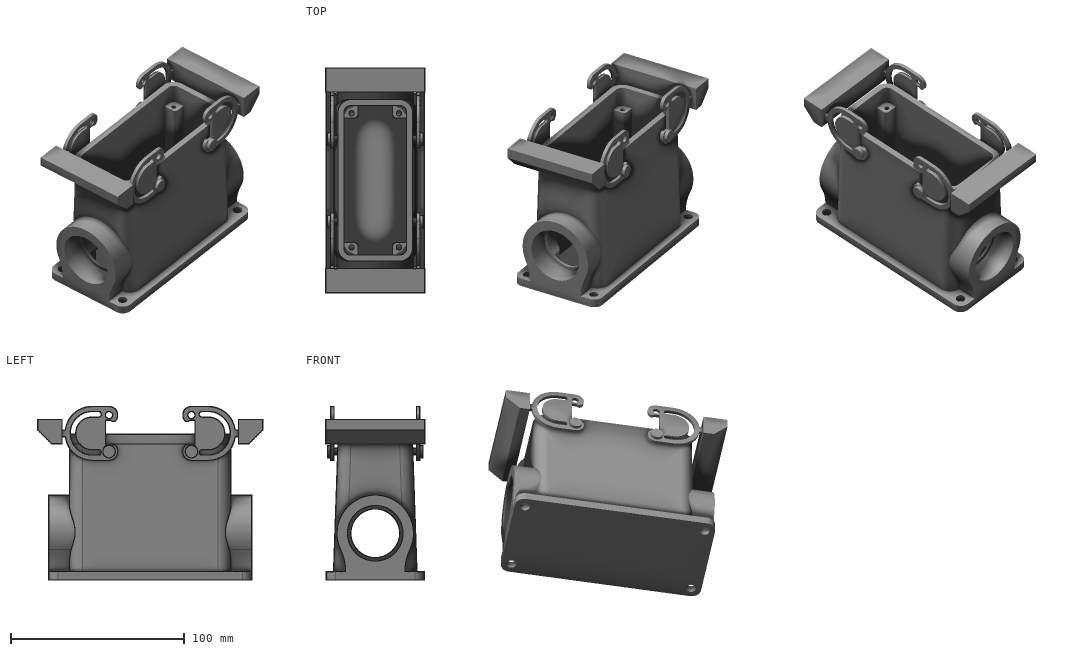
import cadquery as cq
import math


FLANGE_WIDTH = 56.5
FLANGE_LENGTH = 117.0
FLANGE_THICKNESS = 5.0
FLANGE_CORNER_RADIUS = 5.5
BOLT_HOLE_RADIUS = 2.75
BOLT_HOLE_INSET = 6.0

TOP_Z = 84.0
SEAL_HEIGHT = 5.5
RIM_Z = TOP_Z - SEAL_HEIGHT
SHELL_LENGTH = 93.0
SHELL_FOOT_WIDTH = 48.1
RIM_WIDTH = 43.0
SHELL_CORNER_RADIUS = 7.5
WALL = 3.5

CAVITY_WIDTH = RIM_WIDTH - 2 * WALL
CAVITY_LENGTH = SHELL_LENGTH - 2 * WALL
CAVITY_CORNER_RADIUS = SHELL_CORNER_RADIUS - WALL
FLOOR_Z = FLANGE_THICKNESS

POST_TOP_Z = 72.0
POST_WIDTH = 8.0
POST_LENGTH = 7.2
POST_CORNER_RADIUS = 2.0
POST_HOLE_RADIUS = 1.5
POST_HOLE_DEPTH = 10.0
POST_HOLE_INSET = 4.4

ENTRY_Z = 27.0
ENTRY_RADIUS = 22.0
ENTRY_NECK_HALF_WIDTH = 17.0
ENTRY_NECK_CURVE_RADIUS = 30.0
BORE_RADIUS = 14.0
COUNTERBORE_RADIUS = 16.0
COUNTERBORE_DEPTH = 14.0

LEVER_Z = 84.5
PLATE_INNER_X = 23.6
PLATE_THICKNESS = 2.0
PLATE_OUTER_X = PLATE_INNER_X + PLATE_THICKNESS
PLATE_RADIUS = 15.5
PLATE_ARC_Y = 33.5
LOBE_RADIUS = 5.0
LOBE_Y = 23.7
LOBE_RISE = PLATE_RADIUS - LOBE_RADIUS
NOTCH_Y = 25.6
NOTCH_DROP = 3.0
HOOK_START_Y = 22.7
HOOK_TIP_Y = 21.3
HOOK_TIP_DROP = 0.8
SLOT_OUTER_RADIUS = 12.5
SLOT_INNER_RADIUS = 9.4
SLOT_END_Y = 29.7

BAR_WIDTH = 57.0
BAR_SIZE = 14.0
BAR_OUTER_Y = 64.75
BAR_INNER_Y = BAR_OUTER_Y - BAR_SIZE
BAR_TOP_Z = 92.5
BAR_CHAMFER = 8.0
TAB_HEIGHT = 4.0

PIN_RADIUS = 2.0
PIN_HEAD_RADIUS = 3.6
PIN_HEAD_THICKNESS = 1.9
PIN_Z = LEVER_Z - LOBE_RISE

SIDES = (-1, 1)


def rounded_block(width, length, height, radius, base_z):
    """Upright block centred on Z with rounded vertical edges."""
    block = cq.Workplane("XY").workplane(offset=base_z).rect(width, length).extrude(height)
    return block.edges("|Z").fillet(radius)


def make_flange():
    flange = rounded_block(FLANGE_WIDTH, FLANGE_LENGTH, FLANGE_THICKNESS, FLANGE_CORNER_RADIUS, 0)
    hole_pitch_x = FLANGE_WIDTH - 2 * BOLT_HOLE_INSET
    hole_pitch_y = FLANGE_LENGTH - 2 * BOLT_HOLE_INSET
    return (
        flange.faces(">Z").workplane()
        .rect(hole_pitch_x, hole_pitch_y, forConstruction=True)
        .vertices()
        .hole(2 * BOLT_HOLE_RADIUS)
    )


def make_shell():
    """Outside of the shell: sides taper in X, ends are upright, corners keep one radius."""
    foot_x = SHELL_FOOT_WIDTH / 2
    rim_x = RIM_WIDTH / 2
    shell = (
        cq.Workplane("XZ")
        .moveTo(-foot_x, FLANGE_THICKNESS)
        .lineTo(foot_x, FLANGE_THICKNESS)
        .lineTo(rim_x, RIM_Z)
        .lineTo(-rim_x, RIM_Z)
        .close()
        .extrude(SHELL_LENGTH / 2, both=True)
    )
    return shell.edges("#Y and (not |X)").fillet(SHELL_CORNER_RADIUS)


def make_cavity():
    return rounded_block(CAVITY_WIDTH, CAVITY_LENGTH, RIM_Z - FLOOR_Z, CAVITY_CORNER_RADIUS, FLOOR_Z)


def make_posts(cavity):
    """Four corner posts, trimmed to the rounded corners of the cavity."""
    posts = cavity
    clear_width = CAVITY_WIDTH - 2 * POST_WIDTH
    clear_length = CAVITY_LENGTH - 2 * POST_LENGTH
    gap_height = RIM_Z - FLOOR_Z
    for width, length in ((clear_width, CAVITY_LENGTH), (CAVITY_WIDTH, clear_length)):
        gap = cq.Workplane("XY").workplane(offset=FLOOR_Z).rect(width, length).extrude(gap_height)
        posts = posts.cut(gap)
    above_posts = (
        cq.Workplane("XY").workplane(offset=POST_TOP_Z)
        .rect(CAVITY_WIDTH, CAVITY_LENGTH)
        .extrude(RIM_Z - POST_TOP_Z)
    )
    posts = posts.cut(above_posts)
    for side_x in SIDES:
        for side_y in SIDES:
            inner_corner = cq.selectors.NearestToPointSelector(
                (side_x * clear_width / 2, side_y * clear_length / 2, (FLOOR_Z + POST_TOP_Z) / 2)
            )
            posts = posts.edges("|Z").edges(inner_corner).fillet(POST_CORNER_RADIUS)
    screw_holes = (
        cq.Workplane("XY").workplane(offset=POST_TOP_Z - POST_HOLE_DEPTH)
        .rect(CAVITY_WIDTH - 2 * POST_HOLE_INSET, CAVITY_LENGTH - 2 * POST_HOLE_INSET, forConstruction=True)
        .vertices()
        .circle(POST_HOLE_RADIUS)
        .extrude(POST_HOLE_DEPTH)
    )
    return posts.cut(screw_holes)


def make_entries():
    """Round cable entries whose necks curve smoothly down onto the flange."""
    curve_x = ENTRY_NECK_HALF_WIDTH + ENTRY_NECK_CURVE_RADIUS
    centre_distance = ENTRY_RADIUS + ENTRY_NECK_CURVE_RADIUS
    curve_drop = math.sqrt(centre_distance ** 2 - curve_x ** 2)
    curve_z = ENTRY_Z - curve_drop
    tangent_x = ENTRY_RADIUS * curve_x / centre_distance
    tangent_z = ENTRY_Z - ENTRY_RADIUS * curve_drop / centre_distance
    start_angle = math.asin((FLANGE_THICKNESS - curve_z) / ENTRY_NECK_CURVE_RADIUS)
    end_angle = math.asin(curve_drop / centre_distance)
    middle_angle = (start_angle + end_angle) / 2
    start_x = curve_x - ENTRY_NECK_CURVE_RADIUS * math.cos(start_angle)
    middle_x = curve_x - ENTRY_NECK_CURVE_RADIUS * math.cos(middle_angle)
    middle_z = curve_z + ENTRY_NECK_CURVE_RADIUS * math.sin(middle_angle)
    return (
        cq.Workplane("XZ")
        .moveTo(-start_x, FLANGE_THICKNESS)
        .lineTo(start_x, FLANGE_THICKNESS)
        .threePointArc((middle_x, middle_z), (tangent_x, tangent_z))
        .threePointArc((0, ENTRY_Z + ENTRY_RADIUS), (-tangent_x, tangent_z))
        .threePointArc((-middle_x, middle_z), (-start_x, FLANGE_THICKNESS))
        .close()
        .extrude(FLANGE_LENGTH / 2, both=True)
    )


def make_bores():
    """Bore along the whole length with a counterbore at each end."""
    centre = cq.Workplane("XZ").center(0, ENTRY_Z)
    bores = centre.circle(BORE_RADIUS).extrude(FLANGE_LENGTH / 2, both=True)
    for side in SIDES:
        counterbore = (
            cq.Workplane("XZ", origin=(0, side * FLANGE_LENGTH / 2, ENTRY_Z))
            .circle(COUNTERBORE_RADIUS)
            .extrude(side * COUNTERBORE_DEPTH)
        )
        bores = bores.union(counterbore)
    return bores


def make_plate():
    """One lever side plate on the +X side of the lever at the +Y end."""
    notch_v = LOBE_RISE - NOTCH_DROP
    hook_end_y = LOBE_Y - math.sqrt(LOBE_RADIUS ** 2 - NOTCH_DROP ** 2)
    hook_tip_v = notch_v - HOOK_TIP_DROP
    lobe_tip_y = LOBE_Y - LOBE_RADIUS
    blank = (
        cq.Workplane("YZ", origin=(PLATE_INNER_X, 0, LEVER_Z))
        .moveTo(NOTCH_Y, -notch_v)
        .lineTo(NOTCH_Y, notch_v)
        .lineTo(HOOK_START_Y, notch_v)
        .threePointArc((HOOK_TIP_Y, hook_tip_v), (hook_end_y, notch_v))
        .threePointArc((lobe_tip_y, LOBE_RISE), (LOBE_Y, PLATE_RADIUS))
        .lineTo(PLATE_ARC_Y, PLATE_RADIUS)
        .threePointArc((PLATE_ARC_Y + PLATE_RADIUS, 0), (PLATE_ARC_Y, -PLATE_RADIUS))
        .lineTo(LOBE_Y, -PLATE_RADIUS)
        .threePointArc((lobe_tip_y, -LOBE_RISE), (hook_end_y, -notch_v))
        .threePointArc((HOOK_TIP_Y, -hook_tip_v), (HOOK_START_Y, -notch_v))
        .close()
        .extrude(PLATE_THICKNESS)
    )
    catch_hole = (
        cq.Workplane("YZ", origin=(PLATE_INNER_X, LOBE_Y, LEVER_Z + LOBE_RISE))
        .circle(PIN_RADIUS)
        .extrude(PLATE_THICKNESS)
    )
    tab_start_y = PLATE_ARC_Y + SLOT_OUTER_RADIUS
    tab = (
        cq.Workplane("XY")
        .box(PLATE_THICKNESS, BAR_INNER_Y - tab_start_y, TAB_HEIGHT, centered=(False, False, True))
        .translate((PLATE_INNER_X, tab_start_y, LEVER_Z))
    )
    return blank.union(tab).cut(catch_hole).cut(make_slot())


def make_slot():
    """C-shaped spring slot that follows the round end of a lever plate."""
    slot_mid_radius = (SLOT_OUTER_RADIUS + SLOT_INNER_RADIUS) / 2
    end_tip_y = SLOT_END_Y - (SLOT_OUTER_RADIUS - SLOT_INNER_RADIUS) / 2
    return (
        cq.Workplane("YZ", origin=(PLATE_INNER_X, 0, LEVER_Z))
        .moveTo(SLOT_END_Y, SLOT_OUTER_RADIUS)
        .lineTo(PLATE_ARC_Y, SLOT_OUTER_RADIUS)
        .threePointArc((PLATE_ARC_Y + SLOT_OUTER_RADIUS, 0), (PLATE_ARC_Y, -SLOT_OUTER_RADIUS))
        .lineTo(SLOT_END_Y, -SLOT_OUTER_RADIUS)
        .threePointArc((end_tip_y, -slot_mid_radius), (SLOT_END_Y, -SLOT_INNER_RADIUS))
        .lineTo(PLATE_ARC_Y, -SLOT_INNER_RADIUS)
        .threePointArc((PLATE_ARC_Y + SLOT_INNER_RADIUS, 0), (PLATE_ARC_Y, SLOT_INNER_RADIUS))
        .lineTo(SLOT_END_Y, SLOT_INNER_RADIUS)
        .threePointArc((end_tip_y, slot_mid_radius), (SLOT_END_Y, SLOT_OUTER_RADIUS))
        .close()
        .extrude(PLATE_THICKNESS)
    )


def make_rivet():
    """Rivet from the middle of the rim wall out through the lever plate to its head."""
    shank_start_x = (RIM_WIDTH - WALL) / 2
    shank = (
        cq.Workplane("YZ", origin=(shank_start_x, LOBE_Y, PIN_Z))
        .circle(PIN_RADIUS)
        .extrude(PLATE_OUTER_X - shank_start_x)
    )
    head = (
        cq.Workplane("YZ", origin=(PLATE_OUTER_X, LOBE_Y, PIN_Z))
        .circle(PIN_HEAD_RADIUS)
        .extrude(PIN_HEAD_THICKNESS)
    )
    return shank.union(head)


def make_bar():
    """Handle bar of the lever at the +Y end, with its lower outer edge cut away."""
    bar_bottom_z = BAR_TOP_Z - BAR_SIZE
    return (
        cq.Workplane("YZ")
        .moveTo(BAR_INNER_Y, bar_bottom_z)
        .lineTo(BAR_OUTER_Y - BAR_CHAMFER, bar_bottom_z)
        .lineTo(BAR_OUTER_Y, bar_bottom_z + BAR_CHAMFER)
        .lineTo(BAR_OUTER_Y, BAR_TOP_Z)
        .lineTo(BAR_INNER_Y, BAR_TOP_Z)
        .close()
        .extrude(BAR_WIDTH / 2, both=True)
    )


def make_lever():
    """Riveted lever at the +Y end: two side plates, their rivets and the handle bar."""
    side = make_plate().union(make_rivet())
    return make_bar().union(side).union(side.mirror("YZ"))


def make_housing():
    cavity = make_cavity()
    housing = make_flange().union(make_shell()).union(make_entries())
    housing = housing.cut(cavity).union(make_posts(cavity)).cut(make_bores())
    lever = make_lever()
    return housing.union(lever).union(lever.mirror("XZ"))


def make_seal():
    """Rectangular seal frame that sits flush on the rim of the shell."""
    outside = rounded_block(RIM_WIDTH, SHELL_LENGTH, SEAL_HEIGHT, SHELL_CORNER_RADIUS, RIM_Z)
    opening = rounded_block(CAVITY_WIDTH, CAVITY_LENGTH, SEAL_HEIGHT, CAVITY_CORNER_RADIUS, RIM_Z)
    return outside.cut(opening)


housing = make_housing()
seal = make_seal()
result = cq.Compound.makeCompound([*housing.solids().vals(), seal.val()])